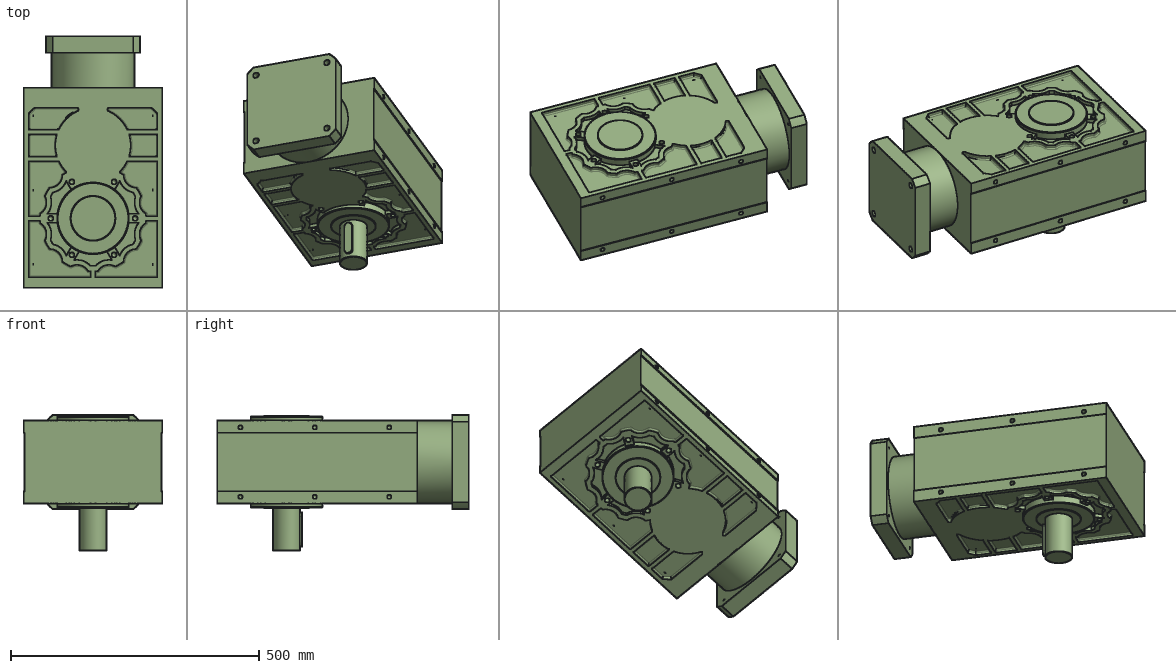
import cadquery as cq
import math


housing_width = 280.0
housing_height = 168.0
housing_front = -140.0
housing_back = 263.5
side_strip_height = 25.0
side_recess_depth = 1.5
half_height = housing_height / 2

neck_diameter = housing_height
flange_back = 367.5
flange_thickness = 34.0
flange_size = 190.0
flange_corner_diameter = 250.0
flange_bolt_offset = 76.0
flange_hole_diameter = 12.0
flange_front = flange_back - flange_thickness

cover_diameter = 145.0
cover_height = 8.0
cover_chamfer = 1.5
pad_diameter = 91.0
pad_height = 1.5
pad_chamfer = 1.0

shaft_diameter = 55.0
shaft_end = -179.0
shaft_chamfer = 1.0
key_length = 70.0
key_width = 16.0
key_outer_radius = 31.5
key_end_gap = 8.0

pocket_depth = 8.0
pocket_floor_fillet = 2.5
pocket_half_width = 130.0
pocket_front = -118.5
pocket_back = 223.0
pocket_corner_chamfer = 12.0
pocket_tip_radius = 3.5
pocket_corner_radius = 1.0
gear_boss_radius = 76.0
gear_boss_y = pocket_back - gear_boss_radius
rib_width = 9.0
overrun = 20.0
selection_margin = 1.0
cross_rib_offset = 27.0

scallop_count = 12
scallop_center_radius = 124.0
rim_lobe_radius = 107.0
rim_scallop_radius = 26.0
recess_lobe_radius = 96.0
recess_scallop_radius = 36.0
rim_recess_depth = 8.0

cover_bolt_count = 6
cover_bolt_radius = 85.0
cover_hole_diameter = 10.2
cover_hole_depth = 25.0
bolt_bridge_width = 18.0

side_hole_diameter = 8.5
side_hole_depth = 20.0
side_hole_height = 70.0
side_hole_pitch = 150.0
side_hole_middle_y = 57.0

drill_point_angle = 118.0
drill_breakthrough = 0.1


def drill_point_length(diameter):
    return diameter / 2 / math.tan(math.radians(drill_point_angle / 2))


def drill(diameter, depth, base, direction):
    """Drill-pointed cutter whose full-diameter part is `depth` long."""
    radius = diameter / 2
    point = drill_point_length(diameter)
    origin = cq.Vector(*base)
    axis = cq.Vector(*direction)
    shank = cq.Solid.makeCylinder(radius, depth, origin, axis)
    tip = cq.Solid.makeCone(radius, 0, point, origin + axis * depth, axis)
    return cq.Workplane(shank.fuse(tip))


def make_housing():
    length = housing_back - housing_front
    middle_y = (housing_back + housing_front) / 2
    block = cq.Workplane().box(housing_width, length, housing_height)
    waist_height = housing_height - 2 * side_strip_height
    for side in (-1, 1):
        groove = cq.Workplane().box(2 * side_recess_depth, length, waist_height)
        block = block.cut(groove.translate((side * housing_width / 2, 0, 0)))
    return block.translate((0, middle_y, 0))


def make_adapter():
    neck = cq.Workplane("XZ", origin=(0, flange_front, 0)).circle(neck_diameter / 2)
    neck = neck.extrude(flange_front - housing_back)
    flange_plane = cq.Workplane("XZ", origin=(0, flange_back, 0))
    flange = flange_plane.rect(flange_size, flange_size).extrude(flange_thickness)
    flange = flange.intersect(flange_plane.circle(flange_corner_diameter / 2).extrude(flange_thickness))
    point = drill_point_length(flange_hole_diameter)
    depth = flange_thickness - point + drill_breakthrough
    for x in (-flange_bolt_offset, flange_bolt_offset):
        for z in (-flange_bolt_offset, flange_bolt_offset):
            flange = flange.cut(drill(flange_hole_diameter, depth, (x, flange_back, z), (0, -1, 0)))
    return neck.union(flange)


def make_cover():
    """Bearing cover on the upper face, rooted at the middle of the housing."""
    cover = cq.Workplane().circle(cover_diameter / 2).extrude(half_height + cover_height)
    cover = cover.faces(">Z").chamfer(cover_chamfer)
    pad = cq.Workplane().circle(pad_diameter / 2).extrude(half_height + cover_height + pad_height)
    return cover.union(pad.faces(">Z").chamfer(pad_chamfer))


def make_shaft():
    shaft = cq.Workplane().circle(shaft_diameter / 2).extrude(shaft_end)
    shaft = shaft.faces("<Z").chamfer(shaft_chamfer)
    key_middle = shaft_end + key_end_gap + key_length / 2
    key = cq.Workplane("XZ", origin=(0, 0, key_middle)).slot2D(key_length, key_width, 90)
    return shaft.union(key.extrude(-key_outer_radius))


def scalloped_disc(lobe_radius, scallop_radius, depth):
    """Disc with a concave scallop between every two lobes, cut down from the upper face."""
    plane = cq.Workplane(origin=(0, 0, half_height - depth))
    scallops = plane.polarArray(scallop_center_radius, 180 / scallop_count, 360, scallop_count)
    scallops = scallops.circle(scallop_radius).extrude(depth)
    return plane.circle(lobe_radius).extrude(depth).cut(scallops)


def make_pockets():
    """Cutter for the eight pockets of the upper face."""
    plane = cq.Workplane(origin=(0, 0, half_height - pocket_depth))
    frame_middle = (pocket_back + pocket_front) / 2
    frame = plane.center(0, frame_middle)
    frame = frame.rect(2 * pocket_half_width, pocket_back - pocket_front).extrude(pocket_depth)
    frame = frame.edges("|Z and >Y").chamfer(pocket_corner_chamfer)

    lands = plane.center(0, gear_boss_y).circle(gear_boss_radius).extrude(pocket_depth)
    lands = lands.union(scalloped_disc(rim_lobe_radius, rim_scallop_radius, pocket_depth))
    for y in (0, gear_boss_y - cross_rib_offset, gear_boss_y + cross_rib_offset):
        rib = plane.center(0, y).rect(2 * pocket_half_width + overrun, rib_width)
        lands = lands.union(rib.extrude(pocket_depth))
    front_rib = plane.center(0, pocket_front).rect(rib_width, 2 * overrun)
    lands = lands.union(front_rib.extrude(pocket_depth))

    tip_x = 2 * math.sqrt(gear_boss_radius * pocket_tip_radius)
    tip_y = pocket_back - pocket_tip_radius
    back_land = plane.polyline([
        (0, gear_boss_y),
        (tip_x, tip_y),
        (tip_x, pocket_back + overrun),
        (-tip_x, pocket_back + overrun),
        (-tip_x, tip_y),
    ]).close().extrude(pocket_depth)
    cutter = frame.cut(lands.union(back_land))
    tips = plane.pushPoints([(-tip_x, tip_y), (tip_x, tip_y)]).circle(pocket_tip_radius).extrude(pocket_depth)
    cutter = cutter.union(tips).clean()
    rim_side = cq.selectors.BoxSelector(
        (-housing_width, pocket_front - selection_margin, 0),
        (housing_width, gear_boss_y - cross_rib_offset, housing_height),
    )
    cutter = cutter.edges("|Z").edges(rim_side).fillet(pocket_corner_radius)
    return cutter.faces("<Z").edges().fillet(pocket_floor_fillet)


def make_rim_recesses():
    """Cutter for the recesses between the bolt bridges, around the bearing cover."""
    plane = cq.Workplane(origin=(0, 0, half_height - rim_recess_depth))
    ring = scalloped_disc(recess_lobe_radius, recess_scallop_radius, rim_recess_depth)
    ring = ring.cut(plane.circle(cover_diameter / 2).extrude(rim_recess_depth))
    bolt_pitch = 360 / cover_bolt_count
    for i in range(cover_bolt_count // 2):
        bridge = plane.rect(2 * rim_lobe_radius, bolt_bridge_width).extrude(rim_recess_depth)
        ring = ring.cut(bridge.rotate((0, 0, 0), (0, 0, 1), i * bolt_pitch))
    sector_height = rim_lobe_radius * math.tan(math.radians(bolt_pitch))
    solid_sector = plane.polyline([
        (0, 0),
        (rim_lobe_radius, sector_height),
        (-rim_lobe_radius, sector_height),
    ]).close().extrude(rim_recess_depth)
    return ring.cut(solid_sector)


def make_cover_holes():
    holes = cq.Workplane()
    for i in range(cover_bolt_count):
        angle = 2 * math.pi * i / cover_bolt_count
        x = cover_bolt_radius * math.cos(angle)
        y = cover_bolt_radius * math.sin(angle)
        holes = holes.add(drill(cover_hole_diameter, cover_hole_depth, (x, y, half_height), (0, 0, -1)))
    return holes.combine()


def make_side_holes():
    holes = cq.Workplane()
    for side in (-1, 1):
        for z in (-side_hole_height, side_hole_height):
            for step in (-1, 0, 1):
                base = (side * housing_width / 2, side_hole_middle_y + step * side_hole_pitch, z)
                holes = holes.add(drill(side_hole_diameter, side_hole_depth, base, (-side, 0, 0)))
    return holes.combine()


def on_both_faces(upper):
    return upper, upper.mirror("XY")


result = make_housing()
for face_feature in (make_pockets(), make_rim_recesses(), make_cover_holes()):
    for cutter in on_both_faces(face_feature):
        result = result.cut(cutter)
result = result.cut(make_side_holes())
for cover in on_both_faces(make_cover()):
    result = result.union(cover)
result = result.union(make_shaft()).union(make_adapter())